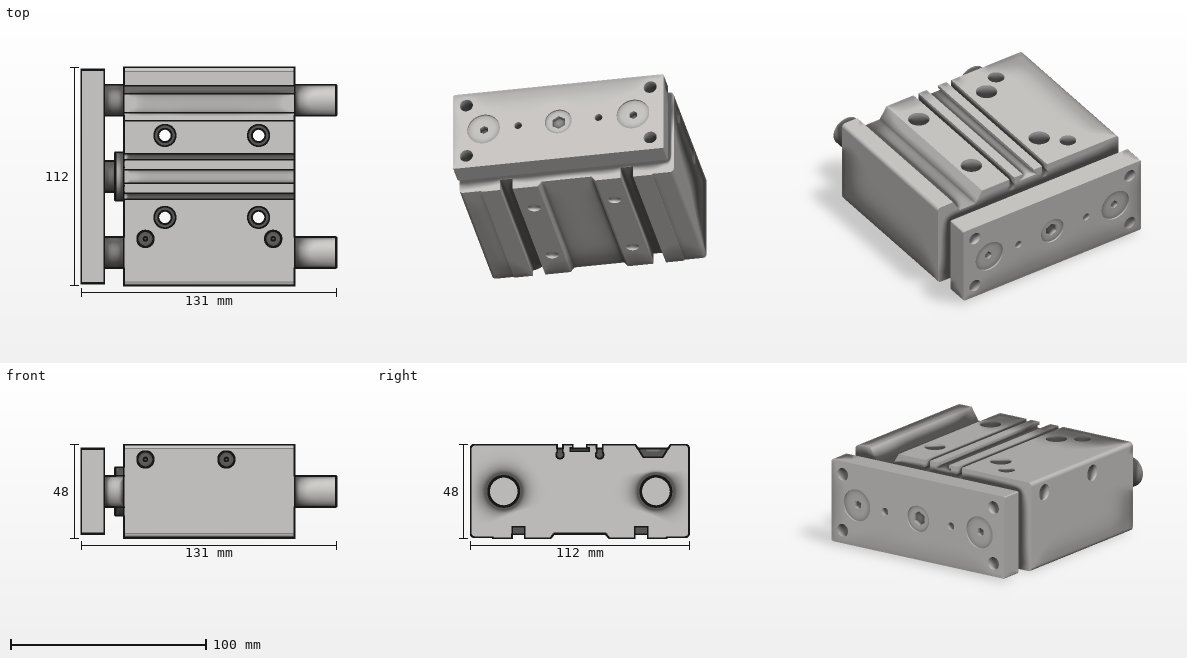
import cadquery as cq
import math


EPS = 1.0

overall_length = 131.0

housing_length = 87.5
housing_width = 112.0
housing_height = 48.0
housing_gap = 10.0
edge_radius = 2.0
foot_relief = 0.5
foot_half_width = 44.5

plate_thickness = 12.0
plate_width = 110.0
plate_height = 44.0
plate_edge_chamfer = 0.5
plate_hole_diameter = 6.8
plate_hole_spacing_y = 96.0
plate_hole_spacing_z = 30.0
locating_hole_diameter = 4.0
locating_hole_spacing = 42.0
locating_hole_depth = 6.0

rod_diameter = 16.0
guide_spacing = 78.0
rod_end_chamfer = 0.5
piston_rod_depth = 40.0
recess_depth = 1.0
guide_recess_diameter = 17.0
piston_recess_diameter = 14.0
guide_socket_width = 4.0
piston_socket_width = 6.5
guide_socket_depth = 4.0
piston_socket_depth = 2.5

collar_diameter = 25.0
collar_length = 4.7
collar_chamfer = 0.5

mount_first_offset = 21.0
mount_spacing_x = 48.0
mount_spacing_y = 42.0
mount_hole_diameter = 6.7
mount_bore_diameter = 11.0
mount_bore_depth = 10.0

port_diameter = 8.6
port_depth = 10.0
port_taper = 1 / 16
port_passage_diameter = 2.0
port_passage_depth = 4.0
port_end_offset = 11.0
top_port_y = -32.0
side_port_z = 16.4
side_port_spacing = 41.5

top_groove_y = 37.5
top_groove_mouth = 18.0
top_groove_floor = 9.7
top_groove_depth = 6.6

sensor_groove_y = 10.15
sensor_groove_width = 3.0
sensor_bore_diameter = 4.0
sensor_bore_depth = 5.2

center_groove_mouth = 7.1
center_groove_floor = 9.6
center_groove_depth = 3.4
center_groove_lip = 1.7

bottom_slot_spacing = 63.0
bottom_slot_width = 6.5
bottom_slot_depth = 6.0
trench_mouth = 30.0
trench_floor = 26.0
trench_depth = 2.5

housing_front = plate_thickness + housing_gap
housing_back = housing_front + housing_length
top_z = housing_height / 2
bottom_z = -housing_height / 2
guide_positions = (-guide_spacing / 2, guide_spacing / 2)


def x_cylinder(diameter, x_start, x_end, y=0.0, z=0.0):
    """Cylinder parallel to X."""
    return (
        cq.Workplane("YZ", origin=(x_start, y, z))
        .circle(diameter / 2)
        .extrude(x_end - x_start)
    )


def x_box(x_start, x_end, y, width, z_low, z_high):
    """Box centred on y, between two X positions and two heights."""
    return cq.Workplane("XY", origin=((x_start + x_end) / 2, y, z_low)).box(
        x_end - x_start, width, z_high - z_low, centered=(True, True, False)
    )


def housing_groove(y, width, z_low, z_high):
    """Rectangular cutter over the whole housing length."""
    return x_box(housing_front - EPS, housing_back + EPS, y, width, z_low, z_high)


def trapezoid_groove(y, mouth, floor, z_face, z_floor):
    """Groove cutter with sloping flanks over the whole housing length."""
    return (
        cq.Workplane("YZ", origin=(housing_front - EPS, y, 0))
        .polyline([
            (-mouth / 2, z_face),
            (-floor / 2, z_floor),
            (floor / 2, z_floor),
            (mouth / 2, z_face),
        ])
        .close()
        .extrude(housing_length + 2 * EPS)
    )


def housing_block():
    """Extruded body with rounded long edges and raised outer underside strips."""
    side_bottom_z = bottom_z + foot_relief
    block = (
        x_box(housing_front, housing_back, 0, housing_width, side_bottom_z, top_z)
        .edges("|X")
        .fillet(edge_radius)
    )
    foot = x_box(housing_front, housing_back, 0, 2 * foot_half_width, bottom_z, 0)
    return block.union(foot)


def cut_top_grooves(body):
    body = body.cut(trapezoid_groove(
        top_groove_y, top_groove_mouth, top_groove_floor, top_z, top_z - top_groove_depth))
    bore_z = top_z - sensor_bore_depth
    for y in (-sensor_groove_y, sensor_groove_y):
        body = body.cut(housing_groove(y, sensor_groove_width, bore_z, top_z + EPS))
        body = body.cut(x_cylinder(
            sensor_bore_diameter, housing_front - EPS, housing_back + EPS, y, bore_z))
    floor_z = top_z - center_groove_depth
    body = body.cut(housing_groove(0, center_groove_mouth, floor_z, top_z + EPS))
    return body.cut(housing_groove(0, center_groove_floor, floor_z, top_z - center_groove_lip))


def cut_bottom_grooves(body):
    body = body.cut(trapezoid_groove(
        0, trench_mouth, trench_floor, bottom_z, bottom_z + trench_depth))
    for y in (-bottom_slot_spacing / 2, bottom_slot_spacing / 2):
        body = body.cut(housing_groove(
            y, bottom_slot_width, bottom_z - EPS, bottom_z + bottom_slot_depth))
    return body


def cut_mounting_holes(body):
    first_x = housing_front + mount_first_offset
    points = [
        (x, y)
        for x in (first_x, first_x + mount_spacing_x)
        for y in (-mount_spacing_y / 2, mount_spacing_y / 2)
    ]
    return (
        body.copyWorkplane(cq.Workplane("XY", origin=(0, 0, top_z)))
        .pushPoints(points)
        .cboreHole(mount_hole_diameter, mount_bore_diameter, mount_bore_depth)
    )


def port_cutter(x, y, z, inward):
    """Tapered blind port with a narrow passage at its bottom, cut along the inward direction."""
    port_half_angle = math.degrees(math.atan(port_taper / 2))
    mouth = cq.Workplane(cq.Plane(origin=(x, y, z), xDir=(1, 0, 0), normal=inward))
    port = mouth.circle(port_diameter / 2).extrude(port_depth, taper=port_half_angle)
    passage = mouth.circle(port_passage_diameter / 2).extrude(port_depth + port_passage_depth)
    return port.union(passage)


def cut_ports(body):
    front_port_x = housing_front + port_end_offset
    for x in (front_port_x, housing_back - port_end_offset):
        body = body.cut(port_cutter(x, top_port_y, top_z, (0, 0, -1)))
    for x in (front_port_x, front_port_x + side_port_spacing):
        body = body.cut(port_cutter(x, -housing_width / 2, side_port_z, (0, 1, 0)))
    return body


def make_housing():
    body = housing_block()
    body = cut_top_grooves(body)
    body = cut_bottom_grooves(body)
    body = cut_mounting_holes(body)
    body = cut_ports(body)
    collar = (
        x_cylinder(collar_diameter, housing_front - collar_length, housing_front)
        .faces("<X")
        .chamfer(collar_chamfer)
    )
    body = body.union(collar)
    for y in guide_positions:
        body = body.cut(x_cylinder(rod_diameter, housing_front - EPS, housing_back + EPS, y))
    return body.cut(x_cylinder(
        rod_diameter, housing_front - collar_length - EPS, housing_front + piston_rod_depth))


def hex_socket(width, depth, y):
    """Hexagonal socket with corners pointing up and down, below the screw recess."""
    corner_diameter = width / math.cos(math.pi / 6)
    return (
        cq.Workplane("YZ", origin=(0, y, 0))
        .transformed(rotate=(0, 0, 90))
        .polygon(6, corner_diameter)
        .extrude(recess_depth + depth)
    )


def plate_with_holes():
    plate = (
        x_box(0, plate_thickness, 0, plate_width, -plate_height / 2, plate_height / 2)
        .edges("|X")
        .chamfer(plate_edge_chamfer)
    )
    for y in (-plate_hole_spacing_y / 2, plate_hole_spacing_y / 2):
        for z in (-plate_hole_spacing_z / 2, plate_hole_spacing_z / 2):
            plate = plate.cut(x_cylinder(plate_hole_diameter, -EPS, plate_thickness + EPS, y, z))
    for y in (-locating_hole_spacing / 2, locating_hole_spacing / 2):
        plate = plate.cut(x_cylinder(locating_hole_diameter, -EPS, locating_hole_depth, y))
    return plate


def make_moving_plate():
    body = plate_with_holes()
    for y in guide_positions:
        guide_rod = (
            x_cylinder(rod_diameter, plate_thickness, overall_length, y)
            .faces(">X")
            .chamfer(rod_end_chamfer)
        )
        body = body.union(guide_rod)
        body = body.cut(x_cylinder(guide_recess_diameter, -EPS, recess_depth, y))
        body = body.cut(hex_socket(guide_socket_width, guide_socket_depth, y))
    body = body.union(x_cylinder(rod_diameter, plate_thickness, housing_front + piston_rod_depth))
    body = body.cut(x_cylinder(piston_recess_diameter, -EPS, recess_depth))
    return body.cut(hex_socket(piston_socket_width, piston_socket_depth, 0))


housing = make_housing()
moving_plate = make_moving_plate()

result = cq.Compound.makeCompound([housing.val(), moving_plate.val()])